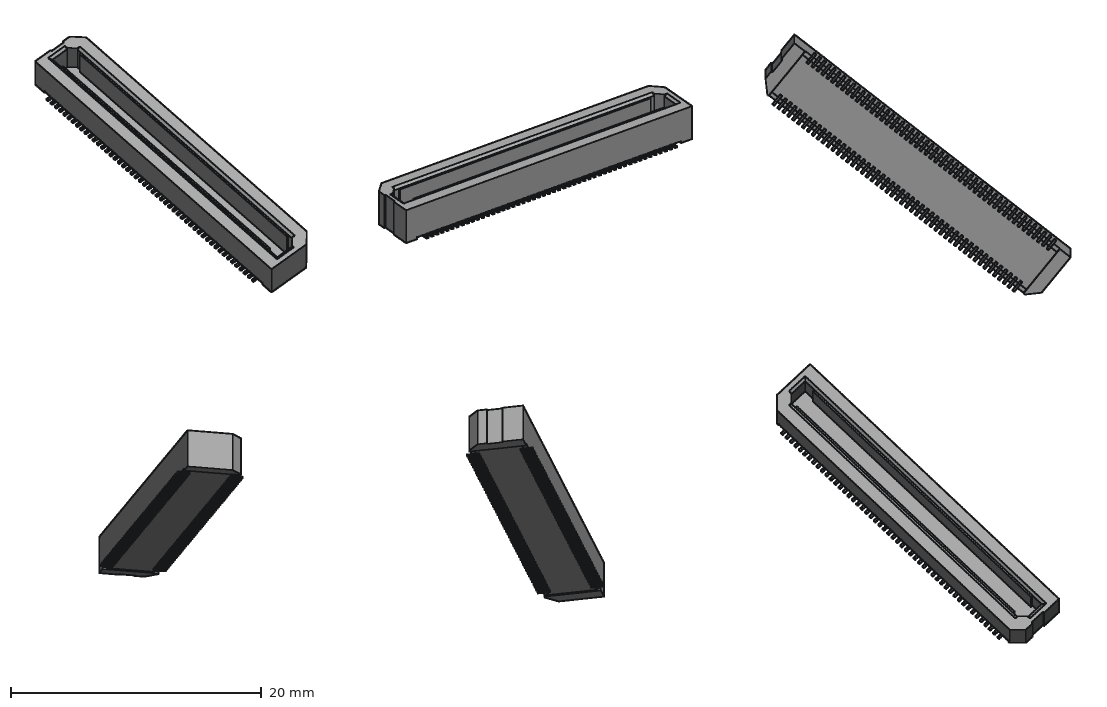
import cadquery as cq

length = 28.2
width = 4.65
height = 3.05
corner_chamfer = 0.93
overall_width = 5.4

mouth_length = 27.3
mouth_width = 2.65
lead_in = 0.25
lead_in_depth = 0.2
cavity_depth = 2.5
cavity_length = mouth_length - 2 * lead_in
cavity_width = mouth_width - 2 * lead_in
cavity_chamfer = 0.6
floor_z = height - cavity_depth

strip_length = 24.7
strip_thickness = 0.17
strip_height = cavity_depth - lead_in_depth

groove_width = 1.27
groove_depth = 0.1

tails_per_side = 50
tail_row_length = 24.5
tail_pitch = tail_row_length / (tails_per_side - 1)
tail_width = 0.2
tail_thickness = 0.1
tail_length = 1.02
foot_length = 1.1
rebate_width = 0.37
rebate_height = 0.17


def block(x_size, y_size, z_size):
    """Box centred in X and Y, standing on Z = 0."""
    return cq.Workplane("XY").box(x_size, y_size, z_size, centered=(True, True, False))


def chamfered_block(x_size, y_size, z_size, chamfer):
    """Block with its two +Y upright corners cut off."""
    return block(x_size, y_size, z_size).edges("|Z and >Y").chamfer(chamfer)


def make_lead_in():
    """Sloping mouth around the cavity, stopping square at the two cut-off corners."""
    slope = (
        cq.Workplane("XY", origin=(0, 0, height - lead_in_depth))
        .rect(cavity_length, cavity_width)
        .workplane(offset=lead_in_depth)
        .rect(mouth_length, mouth_width)
        .loft(ruled=True)
    )
    corner_size = cavity_chamfer + lead_in
    for side in (-1, 1):
        corner = (
            block(corner_size, corner_size, height)
            .translate((side * (mouth_length - corner_size) / 2, (mouth_width - corner_size) / 2, 0))
        )
        slope = slope.cut(corner)
    return slope


def make_cavity():
    cavity = chamfered_block(cavity_length, cavity_width, cavity_depth, cavity_chamfer)
    for side in (-1, 1):
        strip = block(strip_length, strip_thickness, strip_height)
        cavity = cavity.cut(strip.translate((0, side * (cavity_width - strip_thickness) / 2, 0)))
    return cavity.translate((0, 0, floor_z)).union(make_lead_in())


def make_underside_clearance():
    """Recess between the end feet, as deep as the tails and deeper along both long edges."""
    recess_length = length - 2 * foot_length
    recess = block(recess_length, width, tail_thickness)
    for side in (-1, 1):
        rebate = block(recess_length, rebate_width, rebate_height)
        recess = recess.union(rebate.translate((0, side * (width - rebate_width) / 2, 0)))
    return recess


def make_housing():
    housing = chamfered_block(length, width, height, corner_chamfer)
    groove = block(2 * groove_depth, groove_width, height).translate((-length / 2, 0, 0))
    return housing.cut(make_cavity()).cut(groove).cut(make_underside_clearance())


def make_tails():
    first_x = -tail_row_length / 2
    tail_y = (overall_width - tail_length) / 2
    places = [
        (first_x + index * tail_pitch, side * tail_y)
        for index in range(tails_per_side)
        for side in (-1, 1)
    ]
    return cq.Workplane("XY").pushPoints(places).rect(tail_width, tail_length).extrude(tail_thickness)


result = make_housing().union(make_tails())